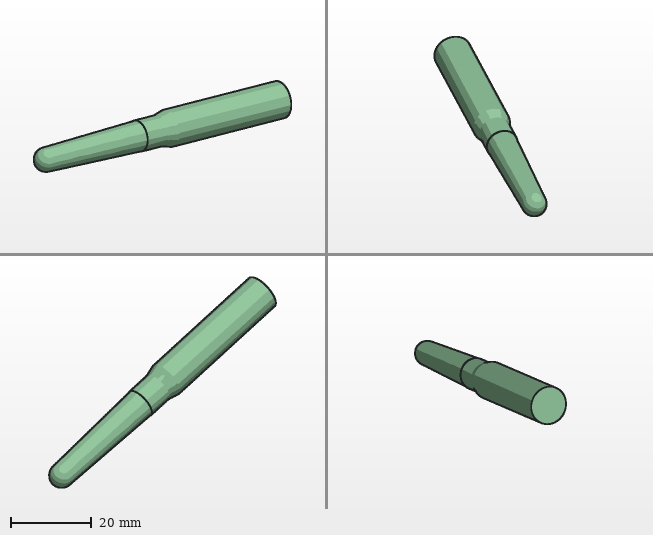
import cadquery as cq
import math

overall_length = 76.2
barrel_diameter = 9.5
barrel_length = 35.0
shoulder_length = 3.0
collar_diameter = 8.0
collar_length = 6.4
probe_root_diameter = 7.85
nose_diameter = 6.25

barrel_radius = barrel_diameter / 2
collar_radius = collar_diameter / 2
probe_root_radius = probe_root_diameter / 2
nose_radius = nose_diameter / 2
barrel_front = -barrel_length
shoulder_front = barrel_front - shoulder_length
collar_front = shoulder_front - collar_length
tip = -overall_length
nose_start = tip + nose_radius
nose_mid_offset = nose_radius * math.sqrt(0.5)


def revolve_about_y(profile):
    """Turn a closed half profile in the XY plane into a round body."""
    return profile.close().revolve(360, (0, 0, 0), (0, 1, 0))


def make_housing():
    """Cylindrical barrel narrowing through a conical shoulder to a collar."""
    profile = (
        cq.Workplane("XY")
        .lineTo(barrel_radius, 0)
        .lineTo(barrel_radius, barrel_front)
        .lineTo(collar_radius, shoulder_front)
        .lineTo(collar_radius, collar_front)
        .lineTo(0, collar_front)
    )
    return revolve_about_y(profile)


def make_probe():
    """Tapered rod with a hemispherical nose, seated against the collar."""
    profile = (
        cq.Workplane("XY")
        .moveTo(0, collar_front)
        .lineTo(probe_root_radius, collar_front)
        .lineTo(nose_radius, nose_start)
        .threePointArc((nose_mid_offset, nose_start - nose_mid_offset), (0, tip))
    )
    return revolve_about_y(profile)


housing = make_housing()
probe = make_probe()

result = cq.Compound.makeCompound([housing.val(), probe.val()])